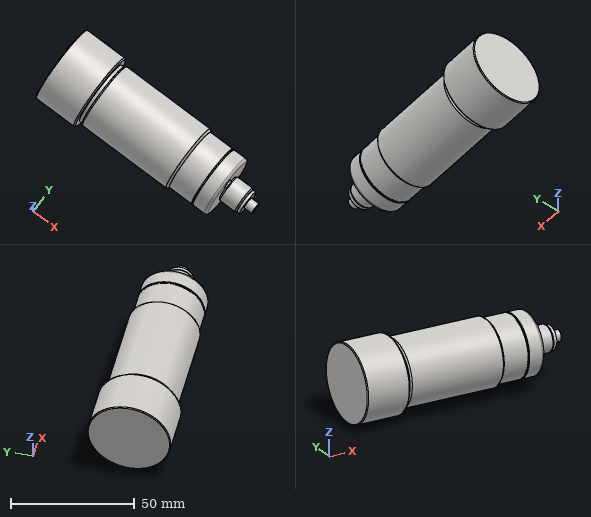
import cadquery as cq

head_end = 19.95
body_start = 21.4
body_end = 64.6
groove_start = 76.8
groove_width = 0.6
housing_end = 84.5
connector_end = 93.5
collar_end = 94.9
total_length = 98.8

head_radius = 34.7 / 2
neck_radius = 14.2
body_radius = 15.0
rear_radius = 14.0
groove_depth = 0.5
connector_radius = 6.0
collar_radius = 5.5
cable_radius = 2.6

head_front_chamfer = 0.4
head_rear_chamfer = 0.6
body_front_chamfer = 0.7
housing_fillet = 1.2
connector_chamfer = 0.7

indicator_offset = 8.8
indicator_radius = 1.9
indicator_height = 0.9


def cylinder(start, end, radius):
    """Solid cylinder on the X axis between two stations."""
    return cq.Workplane("YZ").workplane(offset=start).circle(radius).extrude(end - start)


head = cylinder(0, head_end, head_radius)
head = head.faces("<X").chamfer(head_front_chamfer)
head = head.faces(">X").chamfer(head_rear_chamfer)

neck = cylinder(head_end, body_start, neck_radius)
body = cylinder(body_start, body_end, body_radius).faces("<X").chamfer(body_front_chamfer)
shoulder_length = body_radius - rear_radius
shoulder = (
    cq.Workplane("XY")
    .moveTo(body_end, 0)
    .lineTo(body_end, body_radius)
    .lineTo(body_end + shoulder_length, rear_radius)
    .lineTo(body_end + shoulder_length, 0)
    .close()
    .revolve(360, (0, 0, 0), (1, 0, 0))
)

rear = cylinder(body_end, housing_end, rear_radius).faces(">X").edges().fillet(housing_fillet)
groove_end = groove_start + groove_width
groove = cylinder(groove_start, groove_end, rear_radius).cut(
    cylinder(groove_start, groove_end, rear_radius - groove_depth)
)
rear = rear.cut(groove)

connector = cylinder(housing_end, connector_end, connector_radius)
connector = connector.faces("<X or >X").chamfer(connector_chamfer)
collar = cylinder(connector_end, collar_end, collar_radius)
cable = cylinder(collar_end, total_length, cable_radius)

indicator = (
    cq.Workplane("YZ")
    .workplane(offset=housing_end)
    .center(0, indicator_offset)
    .circle(indicator_radius)
    .extrude(indicator_height)
)

result = head
for section in (neck, body, shoulder, rear, connector, collar, cable, indicator):
    result = result.union(section)